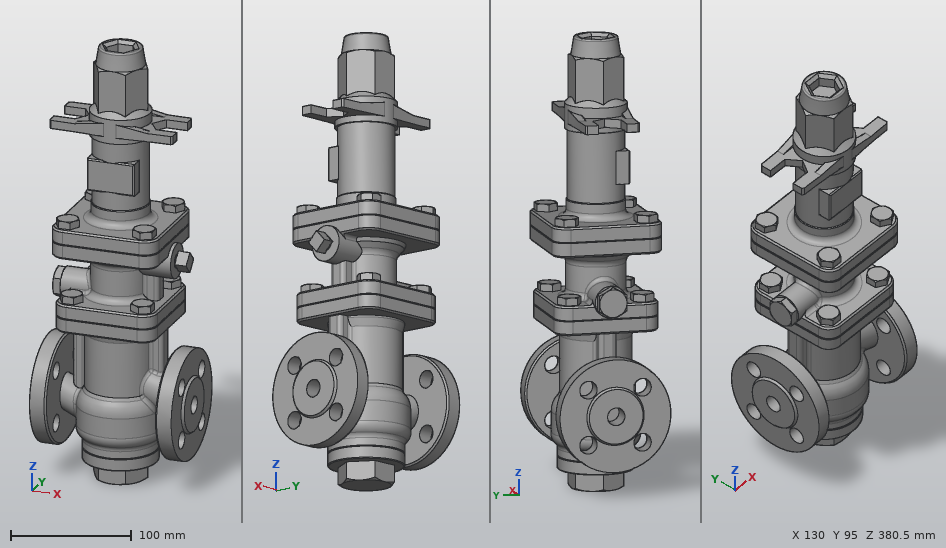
import cadquery as cq
import math


HEX_CORNER_DIA = 48.0
HEX_FLATS = HEX_CORNER_DIA * math.cos(math.radians(30))
HEX_CHAMFER_RISE = 2.0

PLUG_HEX_TOP = 16.0
PLUG_CAP_DIA = 64.0
PLUG_CAP_TOP = 26.5
SEAM_GAP = 0.8
SEAM_DEPTH = 0.8
PLUG_EDGE_CHAMFER = 0.8
BODY_FOOT_TOP = 33.5
BULGE_RADIUS = 37.0
BULGE_FOOT_RADIUS = 34.0
BULGE_FOOT_TOP = 37.5
BULGE_BOTTOM = 46.8
BULGE_TOP = 64.3
SHOULDER_RADIUS = 31.5
SHOULDER_TOP = 77.2
BODY_RADIUS = 30.0
BODY_BOTTOM = 80.3
BODY_TOP = 128.5
BODY_LIP_RADIUS = 32.0
BODY_LIP_BOTTOM = 136.0

LOWER_JOINT_SIDE = 88.5
LOWER_JOINT_BOTTOM = 137.5
LOWER_JOINT_TOP = 162.0
UPPER_JOINT_SIDE = 93.5
UPPER_JOINT_BOTTOM = 203.5
UPPER_JOINT_TOP = 229.0
JOINT_CORNER_RADIUS = 13.0
JOINT_CHAMFER = 1.5
BOLT_FLATS = 17.5
BOLT_HEAD_HEIGHT = 6.5
BOLT_CHAMFER_RISE = 0.8

NECK_RADIUS = 25.0
NECK_FILLET = 6.0
NECK_TOP = 190.2
NECK_FLARE_RADIUS = 27.5
NECK_FLARE_BOTTOM = 195.5
NECK_LIP_RADIUS = 31.5
NECK_LIP_BOTTOM = 200.0
NECK_MOUTH_RADIUS = 33.0

BARREL_RADIUS = 24.0
BARREL_FOOT_TOP = 244.0
BARREL_FOOT_STEP = 0.8
COLLAR_RADIUS = 52.0 / 2
COLLAR_BOTTOM = 303.3
COLLAR_TOP = 324.5
CAP_HEX_TOP = 365.3
CAP_TOP_RADIUS = 18.3
HEIGHT = 380.5
CAP_NOSE_ROUND = 1.5
SOCKET_FLATS = 22.5
SOCKET_MOUTH_FLATS = 28.0
SOCKET_DEPTH = 11.5

ARM_TIP_X = 54.5
ARM_BOTTOM = 308.5
ARM_TOP = 316.0
ARM_INNER_Y = 12.0
ARM_OUTER_Y = 23.2
ARM_ROOT_X = 5.7
ARM_ROOT_Y = math.sqrt(COLLAR_RADIUS**2 - ARM_ROOT_X**2)
ARM_TIP_CHAMFER = 1.5
NOTCH_APEX_X = 27.8
NOTCH_MOUTH_X = 35.8
ARM_RIB_INNER_Y = 17.0
ARM_RIB_START_X = 32.0
ARM_RIB_TOP = 320.5

NAMEPLATE_WIDTH = 42.0
NAMEPLATE_BOTTOM = 258.5
NAMEPLATE_TOP = 286.5
NAMEPLATE_BACK_Y = -11.8
NAMEPLATE_BEVEL = 1.0

FLANGE_Z = 71.5
FLANGE_DIA = 95.0
FLANGE_BACK_X = 48.5
FLANGE_FRONT_X = 62.8
FLANGE_CHAMFER = 1.5
RAISED_FACE_X = 65.0
RAISED_FACE_DIA = 46.0
RAISED_FACE_ROOT_DIA = 49.0
BOLT_HOLE_DIA = 15.0
BOLT_HOLE_SPACING = 46.5
BORE_DIA = 15.0
BORE_DEPTH = 19.0

PIPE_NECK_FILLET = 3.8
INLET_NECK_RADIUS = 14.5
INLET_NECK_Z = 69.0
INLET_SLOPE = 25.0
OUTLET_NECK_RADIUS = 17.0
OUTLET_NECK_Z = 77.5
OUTLET_SLOPE = 18.0

BLEND_MARGIN = 0.5
BLEND_HALF_WIDTH = 23.5
OUTLET_BLEND_START_X = 10.0

PASSAGE_X = 40.0
PASSAGE_WIDTH = 15.2
PASSAGE_EDGE_RADIUS = 3.8
PASSAGE_FILLET = 3.5
INLET_PASSAGE_BOTTOM = 64.5
OUTLET_PASSAGE_BOTTOM = 83.7
NECK_PASSAGE_X = 36.0

LEFT_BOSS_DIA = 27.0
LEFT_BOSS_Z = 165.0
LEFT_BOSS_X = 48.7
LEFT_BOSS_FILLET = 3.8
LEFT_PLUG_X = 56.0
LEFT_PLUG_CHAMFER_RISE = 0.8
RIGHT_BOSS_DIA = 30.0
RIGHT_BOSS_Z = 197.0
RIGHT_BOSS_X = 50.0
RIGHT_BOSS_FILLET = 3.0
RIGHT_PLUG_DIAGONAL = 18.0
RIGHT_PLUG_NECK_DIA = 12.0
RIGHT_PLUG_NECK_X = 51.0
RIGHT_PLUG_X = 61.3


def cylinder_x(diameter, z, start, end):
    return cq.Workplane("YZ", origin=(start, 0, z)).circle(diameter / 2).extrude(end - start)


def rounded_hex(flats, height, rise):
    """Hexagon standing on Z = 0, its top corners turned off by a cone of the given rise."""
    corner = flats / 2 / math.cos(math.radians(30))
    prism = cq.Workplane("XY").polygon(6, 2 * corner).extrude(height)
    envelope = (
        cq.Workplane("XZ")
        .polyline([(0, 0), (corner, 0), (corner, height - rise), (flats / 2, height), (0, height)])
        .close()
        .revolve(360, (0, 0), (0, 1))
    )
    return prism.intersect(envelope)


def turned_core():
    """Body, neck and spring barrel as one revolved outline."""
    foot_radius = PLUG_CAP_DIA / 2
    seam_radius = foot_radius - SEAM_DEPTH
    barrel_foot = BARREL_RADIUS + BARREL_FOOT_STEP
    outline = (
        cq.Workplane("XZ")
        .moveTo(0, PLUG_HEX_TOP)
        .lineTo(foot_radius - PLUG_EDGE_CHAMFER, PLUG_HEX_TOP)
        .lineTo(foot_radius, PLUG_HEX_TOP + PLUG_EDGE_CHAMFER)
        .lineTo(foot_radius, PLUG_CAP_TOP - SEAM_GAP / 2)
        .lineTo(seam_radius, PLUG_CAP_TOP - SEAM_GAP / 2)
        .lineTo(seam_radius, PLUG_CAP_TOP + SEAM_GAP / 2)
        .lineTo(foot_radius, PLUG_CAP_TOP + SEAM_GAP / 2)
        .lineTo(foot_radius, BODY_FOOT_TOP)
        .tangentArcPoint((BULGE_FOOT_RADIUS, BULGE_FOOT_TOP), relative=False)
        .tangentArcPoint((BULGE_RADIUS, BULGE_BOTTOM), relative=False)
        .lineTo(BULGE_RADIUS, BULGE_TOP)
        .tangentArcPoint((SHOULDER_RADIUS, SHOULDER_TOP), relative=False)
        .lineTo(BODY_RADIUS, BODY_BOTTOM)
        .lineTo(BODY_RADIUS, BODY_TOP)
        .lineTo(BODY_LIP_RADIUS, BODY_LIP_BOTTOM)
        .lineTo(BODY_LIP_RADIUS, LOWER_JOINT_TOP)
        .lineTo(NECK_RADIUS + NECK_FILLET, LOWER_JOINT_TOP)
        .radiusArc((NECK_RADIUS, LOWER_JOINT_TOP + NECK_FILLET), NECK_FILLET)
        .lineTo(NECK_RADIUS, NECK_TOP)
        .tangentArcPoint((NECK_FLARE_RADIUS, NECK_FLARE_BOTTOM), relative=False)
        .lineTo(NECK_LIP_RADIUS, NECK_LIP_BOTTOM)
        .lineTo(NECK_MOUTH_RADIUS, UPPER_JOINT_BOTTOM)
        .lineTo(NECK_MOUTH_RADIUS, UPPER_JOINT_TOP)
        .lineTo(barrel_foot + NECK_FILLET, UPPER_JOINT_TOP)
        .radiusArc((barrel_foot, UPPER_JOINT_TOP + NECK_FILLET), NECK_FILLET)
        .lineTo(barrel_foot, BARREL_FOOT_TOP - BARREL_FOOT_STEP)
        .lineTo(BARREL_RADIUS, BARREL_FOOT_TOP)
        .lineTo(BARREL_RADIUS, COLLAR_BOTTOM)
        .lineTo(COLLAR_RADIUS, COLLAR_BOTTOM)
        .lineTo(COLLAR_RADIUS, COLLAR_TOP)
        .lineTo(0, COLLAR_TOP + COLLAR_RADIUS)
        .close()
    )
    return outline.revolve(360, (0, 0), (0, 1))


def bottom_plug_hex():
    plug = rounded_hex(HEX_FLATS, PLUG_HEX_TOP, HEX_CHAMFER_RISE)
    return plug.rotate((0, 0, 0), (1, 0, 0), 180).translate((0, 0, PLUG_HEX_TOP))


def bolted_joint(side, bottom, top):
    """Two square plates with a seam groove between them and a bolt head over each corner."""
    middle = (bottom + top) / 2
    joint = (
        cq.Workplane("XY", origin=(0, 0, bottom))
        .rect(side, side)
        .extrude(top - bottom)
        .edges("|Z")
        .fillet(JOINT_CORNER_RADIUS)
        .faces("<Z or >Z")
        .chamfer(JOINT_CHAMFER)
    )
    core_side = side - 2 * SEAM_DEPTH
    core = (
        cq.Workplane("XY", origin=(0, 0, middle - SEAM_GAP / 2))
        .rect(core_side, core_side)
        .extrude(SEAM_GAP)
        .edges("|Z")
        .fillet(JOINT_CORNER_RADIUS - SEAM_DEPTH)
    )
    slice_between = cq.Workplane("XY", origin=(0, 0, middle)).box(2 * side, 2 * side, SEAM_GAP)
    joint = joint.cut(slice_between.cut(core))

    bolt_offset = side / 2 - JOINT_CORNER_RADIUS
    head = rounded_hex(BOLT_FLATS, BOLT_HEAD_HEIGHT, BOLT_CHAMFER_RISE)
    head = head.translate((bolt_offset, bolt_offset, top))
    for quarter in range(4):
        joint = joint.union(head.rotate((0, 0, 0), (0, 0, 1), 90 * quarter))
    return joint


def screw_cap():
    """Hexagon topped by a tapered nose."""
    hexagon = rounded_hex(HEX_FLATS, CAP_HEX_TOP - COLLAR_BOTTOM, HEX_CHAMFER_RISE)
    nose = (
        cq.Workplane("XY", origin=(0, 0, CAP_HEX_TOP))
        .circle(HEX_FLATS / 2)
        .workplane(offset=HEIGHT - CAP_HEX_TOP)
        .circle(CAP_TOP_RADIUS)
        .loft()
        .faces(">Z")
        .edges()
        .fillet(CAP_NOSE_ROUND)
    )
    return hexagon.translate((0, 0, COLLAR_BOTTOM)).union(nose)


def cap_socket():
    """Hexagonal recess with a bevelled mouth, used as a cutter."""
    corner_ratio = 1 / math.cos(math.radians(30))
    bevel = (SOCKET_MOUTH_FLATS - SOCKET_FLATS) / 2
    recess = (
        cq.Workplane("XY", origin=(0, 0, HEIGHT - SOCKET_DEPTH))
        .polygon(6, SOCKET_FLATS * corner_ratio)
        .extrude(SOCKET_DEPTH)
    )
    mouth = (
        cq.Workplane("XY", origin=(0, 0, HEIGHT - bevel))
        .polygon(6, SOCKET_FLATS * corner_ratio)
        .workplane(offset=bevel)
        .polygon(6, SOCKET_MOUTH_FLATS * corner_ratio)
        .loft()
    )
    return recess.union(mouth)


def handle_arm():
    """Arm in the +X +Y quarter with its web and the tapered rib along its outer edge."""
    tip_corner_x = ARM_TIP_X - ARM_TIP_CHAMFER
    arm_sweep_length = tip_corner_x - ARM_ROOT_X
    arm_sweep_rise = ARM_ROOT_Y - ARM_OUTER_Y
    arm_sweep_radius = (arm_sweep_length**2 + arm_sweep_rise**2) / (2 * arm_sweep_rise)
    plan = (
        cq.Workplane("XY", origin=(0, 0, ARM_BOTTOM))
        .moveTo(tip_corner_x, ARM_OUTER_Y)
        .radiusArc((ARM_ROOT_X, ARM_ROOT_Y), arm_sweep_radius)
        .lineTo(ARM_ROOT_X, 0)
        .lineTo(NOTCH_APEX_X, 0)
        .lineTo(NOTCH_MOUTH_X, ARM_INNER_Y)
        .lineTo(ARM_TIP_X, ARM_INNER_Y)
        .lineTo(ARM_TIP_X, ARM_OUTER_Y - ARM_TIP_CHAMFER)
        .close()
    )
    rib_side = [
        (ARM_ROOT_X, ARM_TOP),
        (ARM_RIB_START_X, ARM_TOP),
        (ARM_ROOT_X, ARM_RIB_TOP),
    ]
    arm = plan.extrude(ARM_RIB_TOP - ARM_BOTTOM)
    web_layer = cq.Workplane("XY", origin=(0, 0, ARM_BOTTOM)).circle(2 * ARM_TIP_X)
    web_layer = web_layer.extrude(ARM_TOP - ARM_BOTTOM)
    rib_wedge = cq.Workplane("XZ", origin=(0, ARM_RIB_INNER_Y, 0)).polyline(rib_side).close()
    rib_wedge = rib_wedge.extrude(ARM_RIB_INNER_Y - ARM_ROOT_Y)
    return arm.intersect(web_layer.union(rib_wedge))


def handle():
    """Four arms mirrored about both vertical planes."""
    half = handle_arm()
    half = half.union(half.mirror("YZ"))
    return half.union(half.mirror("XZ"))


def nameplate():
    depth = BARREL_RADIUS + NAMEPLATE_BACK_Y
    height = NAMEPLATE_TOP - NAMEPLATE_BOTTOM
    plate = cq.Workplane("XY").box(NAMEPLATE_WIDTH, depth, height, centered=(True, False, False))
    plate = plate.translate((0, -BARREL_RADIUS, NAMEPLATE_BOTTOM))
    return plate.faces("<Y").chamfer(NAMEPLATE_BEVEL)


def flange():
    """Flange on the +X side, with its raised sealing face."""
    disc = cylinder_x(FLANGE_DIA, FLANGE_Z, FLANGE_BACK_X, FLANGE_FRONT_X)
    disc = disc.faces("<X").chamfer(FLANGE_CHAMFER)
    raised_face = (
        cq.Workplane("YZ", origin=(FLANGE_FRONT_X, 0, FLANGE_Z))
        .circle(RAISED_FACE_ROOT_DIA / 2)
        .workplane(offset=RAISED_FACE_X - FLANGE_FRONT_X)
        .circle(RAISED_FACE_DIA / 2)
        .loft()
    )
    holes = (
        cq.Workplane("YZ", origin=(FLANGE_BACK_X, 0, FLANGE_Z))
        .rect(BOLT_HOLE_SPACING, BOLT_HOLE_SPACING, forConstruction=True)
        .vertices()
        .circle(BOLT_HOLE_DIA / 2)
        .extrude(FLANGE_FRONT_X - FLANGE_BACK_X)
    )
    return disc.union(raised_face).cut(holes)


def flange_bore():
    return cylinder_x(BORE_DIA, FLANGE_Z, RAISED_FACE_X - BORE_DEPTH, RAISED_FACE_X)


def pipe_neck(radius, centre_z, slope):
    """Neck on the +X side that rises toward the valve axis; its outer end stays inside the flange."""
    neck = cylinder_x(2 * radius, 0, -FLANGE_BACK_X, 2 * radius)
    neck = neck.rotate((0, 0, 0), (0, 1, 0), slope).translate((FLANGE_BACK_X, 0, centre_z))
    keep = cq.Workplane("XY").box(FLANGE_BACK_X, FLANGE_DIA, HEIGHT, centered=(False, True, False))
    return neck.intersect(keep)


def passage(wall_radius, outer_x, bottom, top):
    """Vertical rib toward +X with rounded edges, blended by concave fillets into a round wall."""
    side_y = PASSAGE_WIDTH / 2
    fillet_y = side_y + PASSAGE_FILLET
    fillet_x = math.sqrt((wall_radius + PASSAGE_FILLET) ** 2 - fillet_y**2)
    to_wall = wall_radius / (wall_radius + PASSAGE_FILLET)
    wall_x = fillet_x * to_wall
    wall_y = fillet_y * to_wall
    corner_x = outer_x - PASSAGE_EDGE_RADIUS
    corner_y = side_y - PASSAGE_EDGE_RADIUS
    return (
        cq.Workplane("XY", origin=(0, 0, bottom))
        .moveTo(0, -wall_y)
        .lineTo(wall_x, -wall_y)
        .radiusArc((fillet_x, -side_y), PASSAGE_FILLET)
        .lineTo(corner_x, -side_y)
        .radiusArc((outer_x, -corner_y), -PASSAGE_EDGE_RADIUS)
        .lineTo(outer_x, corner_y)
        .radiusArc((corner_x, side_y), -PASSAGE_EDGE_RADIUS)
        .lineTo(fillet_x, side_y)
        .radiusArc((wall_x, wall_y), PASSAGE_FILLET)
        .lineTo(0, wall_y)
        .close()
        .extrude(top - bottom)
    )


def left_boss():
    """Boss along -X that ends in a hexagonal plug."""
    boss = cylinder_x(LEFT_BOSS_DIA, LEFT_BOSS_Z, -LEFT_BOSS_X, 0)
    flats = LEFT_BOSS_DIA * math.cos(math.radians(30))
    plug = rounded_hex(flats, LEFT_PLUG_X - LEFT_BOSS_X, LEFT_PLUG_CHAMFER_RISE)
    plug = plug.rotate((0, 0, 0), (0, 1, 0), -90)
    return boss.union(plug.translate((-LEFT_BOSS_X, 0, LEFT_BOSS_Z)))


def right_boss():
    """Boss along +X that ends in a square plug standing on its corner."""
    boss = cylinder_x(RIGHT_BOSS_DIA, RIGHT_BOSS_Z, 0, RIGHT_BOSS_X)
    plug_neck = cylinder_x(RIGHT_PLUG_NECK_DIA, RIGHT_BOSS_Z, RIGHT_BOSS_X, RIGHT_PLUG_NECK_X)
    plug = (
        cq.Workplane("YZ", origin=(RIGHT_PLUG_NECK_X, 0, RIGHT_BOSS_Z))
        .polygon(4, RIGHT_PLUG_DIAGONAL)
        .extrude(RIGHT_PLUG_X - RIGHT_PLUG_NECK_X)
    )
    return boss.union(plug_neck).union(plug)


def blend(solid, low_corner, high_corner, radius):
    """Fillet the edges that lie wholly between two opposite corners of a box."""
    region = cq.selectors.BoxSelector(low_corner, high_corner, boundingbox=True)
    return solid.edges(region).fillet(radius)


inlet_neck = pipe_neck(INLET_NECK_RADIUS, INLET_NECK_Z, -INLET_SLOPE).mirror("YZ")
inlet_passage = passage(BODY_RADIUS, PASSAGE_X, INLET_PASSAGE_BOTTOM, LOWER_JOINT_BOTTOM).mirror("YZ")
outlet_neck = pipe_neck(OUTLET_NECK_RADIUS, OUTLET_NECK_Z, OUTLET_SLOPE)
outlet_passage = passage(BODY_RADIUS, PASSAGE_X, OUTLET_PASSAGE_BOTTOM, LOWER_JOINT_BOTTOM)
neck_end_x = FLANGE_BACK_X - BLEND_MARGIN
result = turned_core().union(inlet_neck)
result = blend(
    result,
    (-neck_end_x, -BLEND_HALF_WIDTH, BODY_FOOT_TOP + BLEND_MARGIN),
    (0, BLEND_HALF_WIDTH, BODY_TOP - BLEND_MARGIN),
    PIPE_NECK_FILLET,
)
result = result.union(outlet_passage).union(outlet_neck)
result = blend(
    result,
    (OUTLET_BLEND_START_X, -BLEND_HALF_WIDTH, BODY_FOOT_TOP + BLEND_MARGIN),
    (neck_end_x, BLEND_HALF_WIDTH, BODY_TOP - BLEND_MARGIN),
    PIPE_NECK_FILLET,
)
result = result.union(inlet_passage)

result = result.union(bolted_joint(LOWER_JOINT_SIDE, LOWER_JOINT_BOTTOM, LOWER_JOINT_TOP))
boss_half_width = LEFT_BOSS_DIA / 2 + LEFT_BOSS_FILLET
result = result.union(left_boss())
result = blend(
    result,
    (-LOWER_JOINT_SIDE / 2, -boss_half_width, LOWER_JOINT_TOP - JOINT_CHAMFER / 2),
    (0, boss_half_width, LEFT_BOSS_Z + LEFT_BOSS_DIA),
    LEFT_BOSS_FILLET,
)

result = result.union(bolted_joint(UPPER_JOINT_SIDE, UPPER_JOINT_BOTTOM, UPPER_JOINT_TOP))
result = result.union(right_boss())
result = blend(
    result,
    (NECK_MOUTH_RADIUS - RIGHT_BOSS_FILLET, -RIGHT_BOSS_DIA / 2, UPPER_JOINT_BOTTOM - BLEND_MARGIN),
    (UPPER_JOINT_SIDE / 2, RIGHT_BOSS_DIA / 2, UPPER_JOINT_BOTTOM + BLEND_MARGIN),
    RIGHT_BOSS_FILLET,
)
result = result.union(passage(NECK_RADIUS, NECK_PASSAGE_X, LOWER_JOINT_TOP, RIGHT_BOSS_Z))
result = result.union(bottom_plug_hex())
result = result.union(screw_cap()).cut(cap_socket())
result = result.union(handle()).union(nameplate())

outlet_flange = flange()
outlet_bore = flange_bore()
result = result.union(outlet_flange).union(outlet_flange.mirror("YZ"))
result = result.cut(outlet_bore).cut(outlet_bore.mirror("YZ"))